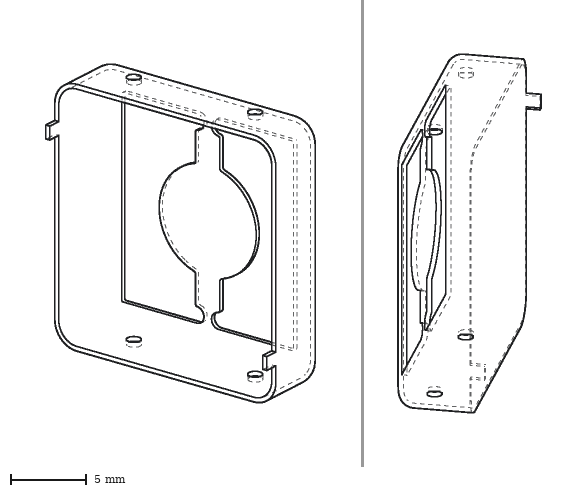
import cadquery as cq

width = 18.2
height = 19.05
depth = 5.01
wall = 0.35
corner_radius = 1.81
back_round = 1.0

border = 2.04
window_width = width - 2 * border
window_height = height - 2 * border
window_corner_radius = 0.1

disc_radius = 4.0
neck_width = 2.02
notch_radius = 0.6
notch_gap = 0.63
bridge_round = 0.2
selection_margin = 0.04

hole_diameter = 1.0
hole_x = 5.0
hole_from_back = 1.8

tab_length = 1.0
tab_height = 1.0
tab_z = 6.0

panel_front = depth - wall


def rounded_block(inset, length):
    """Block from the rim plane, with rounded corners and a rounded back edge."""
    return (
        cq.Workplane("XZ")
        .rect(width - 2 * inset, height - 2 * inset)
        .extrude(-length)
        .edges("|Y")
        .fillet(corner_radius - inset)
        .faces(">Y")
        .edges()
        .fillet(back_round - inset)
    )


def panel_plane():
    """Sketch plane on the inner face of the back panel."""
    return cq.Workplane("XZ", origin=(0, panel_front, 0))


def make_window():
    """Rectangular opening through the back panel."""
    return (
        panel_plane()
        .rect(window_width, window_height)
        .extrude(-wall)
        .edges("|Y")
        .fillet(window_corner_radius)
    )


def make_bridge():
    """Disc on a vertical neck, pinched by a pair of round notches at each end."""
    notch_x = notch_gap / 2 + notch_radius
    notch_z = window_height / 2 - notch_radius
    notch_centres = [(sx * notch_x, sz * notch_z) for sx in (-1, 1) for sz in (-1, 1)]

    disc = panel_plane().circle(disc_radius).extrude(-wall)
    neck = panel_plane().rect(neck_width, 2 * notch_z).extrude(-wall)
    stem = panel_plane().rect(2 * notch_x, window_height + border).extrude(-wall)
    notches = panel_plane().pushPoints(notch_centres).circle(notch_radius).extrude(-wall)

    bridge = disc.union(neck).union(stem).cut(notches)
    for side in (-1, 1):
        side_x = side * neck_width / 2
        neck_side = cq.selectors.BoxSelector(
            (side_x - selection_margin, 0, -notch_z),
            (side_x + selection_margin, depth, notch_z),
        )
        bridge = bridge.edges("|Y").edges(neck_side).fillet(bridge_round)
    return bridge


def make_wall_holes():
    """Two vertical cutters, each passing through both Z walls."""
    return (
        cq.Workplane("XY", origin=(0, depth - hole_from_back, -height / 2))
        .pushPoints([(-hole_x, 0), (hole_x, 0)])
        .circle(hole_diameter / 2)
        .extrude(height)
    )


def make_tab(side):
    """Tab flush with a side wall: high on the -X side, low on the +X side."""
    return cq.Workplane("XY").box(wall, tab_length + wall, tab_height).translate(
        (side * (width - wall) / 2, (wall - tab_length) / 2, -side * tab_z)
    )


result = rounded_block(0, depth).cut(rounded_block(wall, panel_front))
result = result.cut(make_window()).union(make_bridge())
result = result.cut(make_wall_holes())
for side in (-1, 1):
    result = result.union(make_tab(side))